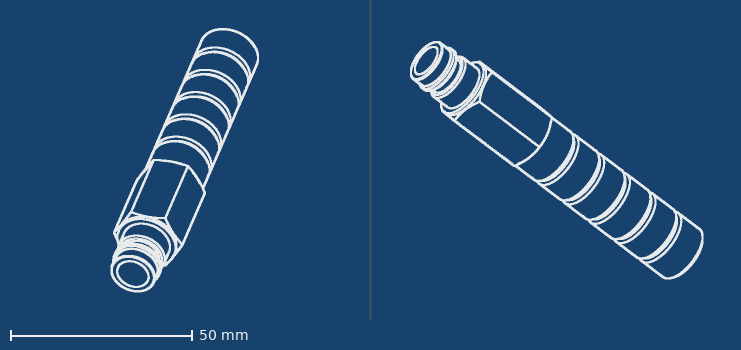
import cadquery as cq
import math

length = 100.0
bore_diameter = 9.0

stem_diameter = 16.7
groove_pitch = 10.0
groove_count = 5
groove_width = 2.0
groove_depth = 0.8
groove_floor = 0.3
end_chamfer = 0.7

hex_across_flats = 17.0
hex_start = 15.0
hex_end = 40.0
hex_chamfer_angle = 30.0

spigot_diameter = 12.5
spigot_chamfer = 0.2
ring_diameter = 13.5
ring_start = 3.4
ring_end = 5.6
ring_chamfer = 0.6
neck_diameter = 10.8
shoulder_start = 8.0
shoulder_end = 14.0
shoulder_chamfer = 0.6


def rod(diameter, start, end):
    """Solid cylinder along Y between two positions."""
    plane = cq.Workplane("XZ", origin=(0, start, 0))
    return plane.circle(diameter / 2).extrude(start - end)


def revolve_profile(points):
    """Turn a closed (radius, Y) outline about the Y axis."""
    return cq.Workplane("XY").polyline(points).close().revolve(360, (0, 0), (0, 1))


def make_stem():
    stem = rod(stem_diameter, shoulder_end, length).faces(">Y").chamfer(end_chamfer)
    radius = stem_diameter / 2
    for index in range(groove_count):
        center = hex_end + (index + 1) * groove_pitch
        groove = revolve_profile([
            (radius - groove_depth, center - groove_floor / 2),
            (radius, center - groove_width / 2),
            (radius + groove_depth, center - groove_width / 2),
            (radius + groove_depth, center + groove_width / 2),
            (radius, center + groove_width / 2),
            (radius - groove_depth, center + groove_floor / 2),
        ])
        stem = stem.cut(groove)
    return stem


def make_hexagon():
    """Hexagonal prism with its corners turned off conically at both ends."""
    corner_diameter = hex_across_flats / math.cos(math.radians(30))
    corner_radius = corner_diameter / 2
    end_radius = stem_diameter / 2
    drop = (corner_radius - end_radius) * math.tan(math.radians(hex_chamfer_angle))
    plane = cq.Workplane("XZ", origin=(0, hex_start, 0))
    prism = plane.polygon(6, corner_diameter).extrude(hex_start - hex_end)
    envelope = revolve_profile([
        (0, hex_start),
        (end_radius, hex_start),
        (corner_radius, hex_start + drop),
        (corner_radius, hex_end - drop),
        (end_radius, hex_end),
        (0, hex_end),
    ])
    return prism.intersect(envelope)


def make_spigot():
    tip = rod(spigot_diameter, 0, ring_start).faces("<Y").chamfer(spigot_chamfer)
    ring = rod(ring_diameter, ring_start, ring_end).faces("<Y or >Y").chamfer(ring_chamfer)
    neck = rod(neck_diameter, ring_end, shoulder_start)
    shoulder = rod(ring_diameter, shoulder_start, shoulder_end)
    shoulder = shoulder.faces("<Y").chamfer(shoulder_chamfer)
    return tip.union(ring).union(neck).union(shoulder)


body = make_stem().union(make_hexagon()).union(make_spigot())
result = body.cut(rod(bore_diameter, 0, length))